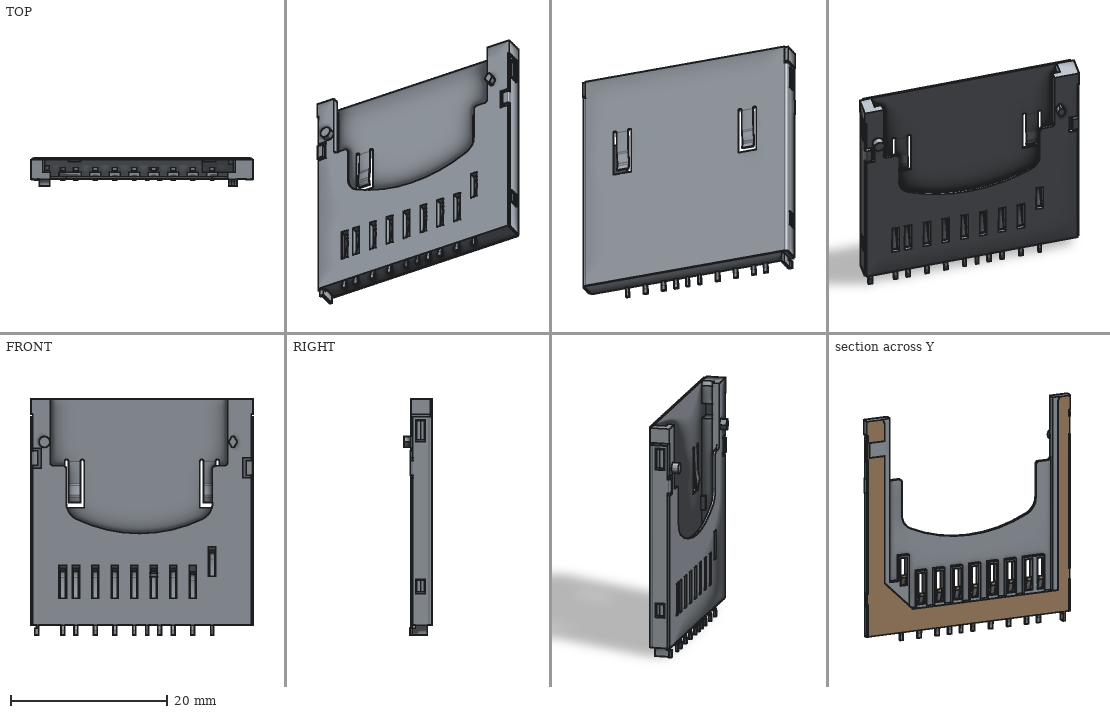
import cadquery as cq
WIDTH = 28.45
DEPTH = 2.72
HEIGHT = 28.98
SHEET = 0.2
SHIELD_WALL_TOP = 26.7
SHIELD_WALL_FRONT = 0.27
BEND_RADIUS = 0.45
SHOULDER_Z = 27.0
INNER_WIDTH = WIDTH - 2 * SHEET
INNER_DEPTH = DEPTH - SHEET

SLOT_X = -0.4
SLOT_WIDTH = 24.15
MOUTH_WIDTH = 24.62
MOUTH_DEPTH = 0.6
RAIL_GAP = 22.7
RAIL_Y = 0.9
FLOOR = 0.33
END_WALL = 3.02
CARD_CHAMFER = 3.93

FINGER_X = -0.33
FINGER_WIDTH = 18.7
FINGER_LOW_Z = 11.75
FINGER_ARC_RADIUS = 18.45
FINGER_CORNER_RADIUS = 2.27
SHELF_Z = 20.42
SHELF_RADIUS = 0.42

LEFT_BUMP_Y = (1.15, 1.72)
LEFT_BUMP_REACH = 0.57
RIGHT_BUMP_Y = (1.9, INNER_DEPTH)
RIGHT_BUMP_REACH = 0.55
BUMP_Z = (12.1, 13.9)
NOTCH_Z = (24.05, 26.0)

FIRST_X = -8.47
ROW_LENGTH = 17.45
PITCH_COUNT = 8
PITCH = ROW_LENGTH / (PITCH_COUNT - 1)
OUTER_X = -10.13
contact_xs = [FIRST_X + PITCH * i for i in range(PITCH_COUNT)]
BAR_X = contact_xs[4]
LOW_X = contact_xs[6]
LAST_X = contact_xs[7]
WINDOW_WIDTH = 0.95
WINDOW_Z = (3.48, 7.65)
LAST_WINDOW_Z = (6.3, 10.0)
RIB_WIDTH = 1.42
RIB_TOP_MARGIN = 0.3
OUTER_RIB_MARGIN = 0.03
CONTACT_WIDTH = 0.67
CONTACT_SHEET = 0.15
CONTACT_ROOT_Y = 0.35
CONTACT_CREST_Y = 1.48
CONTACT_TURN_Y = 1.45
CONTACT_TIP_Y = 1.15
CONTACT_TURN_LENGTH = 0.25
CONTACT_TIP_LENGTH = 0.6
CREST_TO_BEND = 0.5
CREST_SHOULDER_DROP = 0.15
CREST_BELOW_TOP = 1.0
LOW_CREST_BELOW_TOP = 1.4
CONTACT_EMBED = 0.18
BAR_WIDTH = 1.2
BAR_Y = (1.2, CONTACT_CREST_Y)
BAR_HEIGHT = 0.42

TAIL_LENGTH = 1.27
TAIL_WIDTH = 0.5
NARROW_TAIL_WIDTH = 0.4
TAIL_FRONT_Y = -0.12
TAIL_BACK_Y = 0.18
TAIL_EXIT_Y = (0.05, 0.27)
TAIL_BEND = 0.6
wide_tail_xs = [OUTER_X] + contact_xs[:3] + [2.27] + [contact_xs[5], contact_xs[6]]
narrow_tail_xs = [contact_xs[3], 0.67, LAST_X]
SIDE_TAIL_X = (-13.52, -13.22)
SIDE_TAIL_Y = (0.18, 2.12)
SIDE_TAIL_NOTCH = 0.35
SIDE_FOOT_X = -13.75

PEG_RADIUS = 0.7
PEG_LENGTH = 0.88
PEG_Z = 23.47
ROUND_PEG_X = -12.5
DIAMOND_PEG_X = 11.65
DIAMOND_HALF_WIDTH = 0.55
DIAMOND_HALF_HEIGHT = 0.97

LATCH_Y = (0.65, 1.88)
latch_zs = [(4.02, 5.9), (23.5, 26.32)]
LATCH_SIDE_GAP = 0.12
LATCH_BOTTOM_GAP = 0.25
LATCH_RAMP = 0.48
LATCH_RISE = 0.18

tab_places = [(-1, 21.4), (1, 20.15)]
TAB_HEIGHT = 1.85
TAB_REACH = 0.88
TAB_FRONT_Y = -0.1
TAB_BACK_Y = 0.45
TAB_ROUND = 0.25
POCKET_HEIGHT = 2.55
POCKET_REACH = 1.33

SPRING_X = 8.65
SPRING_WIDTH = 1.57
SPRING_SLOT = 0.45
SPRING_ROOT_Z = 20.95
SPRING_SLOT_TOP = 21.2
SPRING_TIP_Z = 15.7
SPRING_CUT_LOW_Z = 15.05
spring_line = [(SPRING_ROOT_Z, 0.0), (18.15, 0.05), (17.95, 0.1), (16.7, 0.3), (16.37, 0.3), (SPRING_TIP_Z, 0.12)]


def box(x, y, z):
    """Box between two X, two Y and two Z values."""
    size = (x[1] - x[0], y[1] - y[0], z[1] - z[0])
    return cq.Workplane("XY").box(*size, centered=False).translate((x[0], y[0], z[0]))


def wide_box(middle, width, y, z):
    """Box centred on a middle X."""
    return box((middle - width / 2, middle + width / 2), y, z)


def side_box(side, reach, y, z):
    """Box that reaches inward from the outer face on one side (-1 or 1)."""
    edges = sorted((side * WIDTH / 2, side * (WIDTH / 2 - reach)))
    return box(edges, y, z)


def strip(middle, width, points):
    """Closed (Y, Z) outline extruded along X about a middle X."""
    outline = cq.Workplane("YZ").polyline(points).close()
    return outline.extrude(width / 2, both=True).translate((middle, 0, 0))


def housing_block():
    lower = wide_box(0, INNER_WIDTH, (0, INNER_DEPTH), (0, HEIGHT))
    lower = lower.edges("|Z and >Y").fillet(BEND_RADIUS - SHEET)
    return lower.union(wide_box(0, WIDTH, (0, INNER_DEPTH), (SHOULDER_Z, HEIGHT)))


def card_slot():
    """Space for the card, with a rail along each side and one corner cut off."""
    slot_right = SLOT_X + SLOT_WIDTH / 2
    space = wide_box(SLOT_X, SLOT_WIDTH, (RAIL_Y, DEPTH), (END_WALL, HEIGHT))
    mouth = (
        cq.Workplane("XZ")
        .moveTo(SLOT_X - SLOT_WIDTH / 2, HEIGHT - MOUTH_DEPTH)
        .lineTo(SLOT_X - MOUTH_WIDTH / 2, HEIGHT)
        .lineTo(SLOT_X + MOUTH_WIDTH / 2, HEIGHT)
        .lineTo(SLOT_X + SLOT_WIDTH / 2, HEIGHT - MOUTH_DEPTH)
        .close()
        .extrude(RAIL_Y - DEPTH)
        .translate((0, RAIL_Y, 0))
    )
    corner = (
        cq.Workplane("XZ")
        .moveTo(slot_right - CARD_CHAMFER, END_WALL)
        .lineTo(slot_right, END_WALL)
        .lineTo(slot_right, END_WALL + CARD_CHAMFER)
        .close()
        .extrude(-DEPTH)
    )
    between_rails = wide_box(SLOT_X, RAIL_GAP, (FLOOR, RAIL_Y), (END_WALL, HEIGHT))
    return space.union(mouth).cut(corner).union(between_rails)


def finger_opening():
    """Opening in the floor: a wide mouth above a tongue that ends in a large arc."""
    arc_z = FINGER_LOW_Z + FINGER_ARC_RADIUS
    tongue = wide_box(FINGER_X, FINGER_WIDTH, (0, RAIL_Y), (0, HEIGHT))
    disc = cq.Workplane("XZ").center(FINGER_X, arc_z).circle(FINGER_ARC_RADIUS).extrude(-RAIL_Y)
    tongue = tongue.intersect(disc)
    corners = cq.selectors.BoxSelector((-WIDTH, -DEPTH, FINGER_LOW_Z), (WIDTH, DEPTH, SHELF_Z))
    tongue = tongue.edges("|Y").edges(corners).fillet(FINGER_CORNER_RADIUS)
    mouth = wide_box(SLOT_X, RAIL_GAP, (0, RAIL_Y), (SHELF_Z, HEIGHT))
    mouth = mouth.edges("|Y and <Z").fillet(SHELF_RADIUS)
    opening = tongue.union(mouth)
    shelf_edges = cq.selectors.BoxSelector(
        (FINGER_X - FINGER_WIDTH / 2 - SHELF_RADIUS / 2, -DEPTH, SHELF_Z - SHELF_RADIUS / 2),
        (FINGER_X + FINGER_WIDTH / 2 + SHELF_RADIUS / 2, DEPTH, SHELF_Z + SHELF_RADIUS / 2),
    )
    return opening.edges("|Y").edges(shelf_edges).fillet(SHELF_RADIUS)


def window_z(x):
    return LAST_WINDOW_Z if x == LAST_X else WINDOW_Z


def contact_rib(x):
    low, high = END_WALL, window_z(x)[1] + RIB_TOP_MARGIN
    if x == OUTER_X:
        return box((x - WINDOW_WIDTH / 2 - OUTER_RIB_MARGIN, FIRST_X), (0, RAIL_Y), (low, high))
    return wide_box(x, RIB_WIDTH, (0, RAIL_Y), (low, high))


def corner_rib():
    """Raised floor between the last contact and the rail, under the cut-off corner."""
    rail_x = SLOT_X + RAIL_GAP / 2
    return box((LAST_X, rail_x), (0, RAIL_Y), (END_WALL, END_WALL + CARD_CHAMFER))


def contact(x):
    """Spring arm that rises from the lower end of its window and turns down past its crest."""
    low, high = window_z(x)
    crest_z = high - (LOW_CREST_BELOW_TOP if x == LOW_X else CREST_BELOW_TOP)
    bend_z = crest_z - CREST_TO_BEND
    turn_z = crest_z + CONTACT_TURN_LENGTH
    tip_z = crest_z + CONTACT_TIP_LENGTH
    shoulder_y = CONTACT_CREST_Y - CREST_SHOULDER_DROP
    outline = (
        cq.Workplane("YZ")
        .moveTo(CONTACT_ROOT_Y, low - CONTACT_EMBED)
        .lineTo(shoulder_y - CONTACT_SHEET, bend_z)
        .threePointArc((CONTACT_CREST_Y - CONTACT_SHEET, crest_z), (CONTACT_TURN_Y - CONTACT_SHEET, turn_z))
        .lineTo(CONTACT_TIP_Y - CONTACT_SHEET, tip_z)
        .lineTo(CONTACT_TIP_Y, tip_z)
        .lineTo(CONTACT_TURN_Y, turn_z)
        .threePointArc((CONTACT_CREST_Y, crest_z), (shoulder_y, bend_z))
        .lineTo(CONTACT_ROOT_Y + CONTACT_SHEET, low - CONTACT_EMBED)
        .close()
    )
    arm = outline.extrude(CONTACT_WIDTH / 2, both=True).translate((x, 0, 0))
    if x == BAR_X:
        arm = arm.union(wide_box(x, BAR_WIDTH, BAR_Y, (crest_z - BAR_HEIGHT, crest_z)))
    return arm


def tail(x, width):
    """Solder tail that bends toward the mounting plane."""
    front, back = TAIL_EXIT_Y
    points = [
        (front, 0),
        (back, 0),
        (TAIL_BACK_Y, -TAIL_BEND),
        (TAIL_BACK_Y, -TAIL_LENGTH),
        (TAIL_FRONT_Y, -TAIL_LENGTH),
        (TAIL_FRONT_Y, -TAIL_BEND),
    ]
    return strip(x, width, points)


def side_tail():
    """Upright plate at the -X end with a foot at the mounting plane."""
    plate = box(SIDE_TAIL_X, SIDE_TAIL_Y, (-TAIL_LENGTH, 0))
    notch = box(SIDE_TAIL_X, (SIDE_TAIL_Y[0], SIDE_TAIL_Y[0] + SIDE_TAIL_NOTCH), (-SIDE_TAIL_NOTCH, 0))
    foot = box((SIDE_FOOT_X, SIDE_TAIL_X[1]), (TAIL_FRONT_Y, TAIL_BACK_Y), (-TAIL_LENGTH, -SIDE_TAIL_NOTCH))
    return plate.cut(notch).union(foot)


def round_peg(x):
    return cq.Workplane("XZ").center(x, PEG_Z).circle(PEG_RADIUS).extrude(PEG_LENGTH)


def diamond_peg(x):
    half = [(DIAMOND_HALF_WIDTH, 0), (0, DIAMOND_HALF_HEIGHT)]
    points = half + [(-across, -up) for across, up in half]
    diamond = cq.Workplane("XZ").center(x, PEG_Z).polyline(points).close().extrude(PEG_LENGTH)
    return diamond.intersect(round_peg(x))


def latch(side, z):
    """Ramp on the side of the housing that stands in a window of the shield."""
    face = INNER_WIDTH / 2
    front, back = LATCH_Y[0] + LATCH_SIDE_GAP, LATCH_Y[1] - LATCH_SIDE_GAP
    low, high = z[0] + LATCH_BOTTOM_GAP, z[1] - LATCH_SIDE_GAP
    points = [
        (side * (face - SHEET), front),
        (side * (face + LATCH_RISE), front),
        (side * (face + LATCH_RISE), back - LATCH_RAMP),
        (side * face, back),
        (side * (face - SHEET), back),
    ]
    return cq.Workplane("XY").workplane(offset=low).polyline(points).close().extrude(high - low)


def slot_bumps():
    left, right = SLOT_X - SLOT_WIDTH / 2, SLOT_X + SLOT_WIDTH / 2
    left_bump = box((left, left + LEFT_BUMP_REACH), LEFT_BUMP_Y, BUMP_Z)
    return left_bump.union(box((right - RIGHT_BUMP_REACH, right), RIGHT_BUMP_Y, BUMP_Z))


def make_housing():
    body = housing_block().cut(card_slot()).cut(finger_opening())
    slot_right = SLOT_X + SLOT_WIDTH / 2
    body = body.cut(box((slot_right, INNER_WIDTH / 2 - SHEET), (RAIL_Y, DEPTH), NOTCH_Z))
    body = body.union(slot_bumps())
    all_xs = [OUTER_X] + contact_xs
    for x in all_xs:
        body = body.union(contact_rib(x))
    body = body.union(corner_rib())
    for x in all_xs:
        body = body.cut(wide_box(x, WINDOW_WIDTH, (0, RAIL_Y), window_z(x)))
    for x in all_xs:
        body = body.union(contact(x))
    for x in wide_tail_xs:
        body = body.union(tail(x, TAIL_WIDTH))
    for x in narrow_tail_xs:
        body = body.union(tail(x, NARROW_TAIL_WIDTH))
    body = body.union(side_tail())
    for side, z in tab_places:
        half = POCKET_HEIGHT / 2
        body = body.cut(side_box(side, POCKET_REACH, (0, TAB_BACK_Y), (z - half, z + half)))
    for side in (-1, 1):
        for z in latch_zs:
            body = body.union(latch(side, z))
    return body.union(round_peg(ROUND_PEG_X)).union(diamond_peg(DIAMOND_PEG_X))


def shield_shell():
    """Back plate with two side walls; the plate alone runs on to the open end."""
    outer = wide_box(0, WIDTH, (SHIELD_WALL_FRONT, DEPTH), (0, SHIELD_WALL_TOP))
    outer = outer.edges("|Z and >Y").fillet(BEND_RADIUS)
    inner = wide_box(0, INNER_WIDTH, (0, INNER_DEPTH), (0, SHIELD_WALL_TOP))
    inner = inner.edges("|Z and >Y").fillet(BEND_RADIUS - SHEET)
    plate_width = WIDTH - 2 * BEND_RADIUS
    plate = wide_box(0, plate_width, (INNER_DEPTH, DEPTH), (SHOULDER_Z - BEND_RADIUS, HEIGHT))
    return outer.cut(inner).union(plate)


def spring_cut(x):
    """Opening around a spring; a round-ended slot runs up each side of it."""
    width = SPRING_WIDTH + 2 * SPRING_SLOT
    plate = (INNER_DEPTH, DEPTH)
    cut = wide_box(x, width, plate, (SPRING_CUT_LOW_Z, SPRING_ROOT_Z))
    for side in (-1, 1):
        slot_x = x + side * (SPRING_WIDTH + SPRING_SLOT) / 2
        end_z = SPRING_SLOT_TOP - SPRING_SLOT / 2
        end = cq.Workplane("XZ").center(slot_x, end_z).circle(SPRING_SLOT / 2).extrude(-DEPTH)
        cut = cut.union(end)
    return cut


def spring(x):
    inner = [(INNER_DEPTH - dip, z) for z, dip in spring_line]
    outer = [(y + SHEET, z) for y, z in reversed(inner)]
    return strip(x, SPRING_WIDTH, inner + outer)


def tab(side, z):
    """Piece of the side wall folded over the mounting face."""
    heights = (z - TAB_HEIGHT / 2, z + TAB_HEIGHT / 2)
    lug = side_box(side, TAB_REACH, (TAB_FRONT_Y, TAB_BACK_Y), heights)
    outer_edge = "|Z and <Y and >X" if side > 0 else "|Z and <Y and <X"
    return lug.edges(outer_edge).fillet(TAB_ROUND)


def make_shield():
    body = shield_shell()
    for x in (-SPRING_X, SPRING_X):
        body = body.cut(spring_cut(x)).union(spring(x))
    for side in (-1, 1):
        for z in latch_zs:
            body = body.cut(side_box(side, SHEET, LATCH_Y, z))
    for side, z in tab_places:
        body = body.union(tab(side, z))
    return body


housing = make_housing()
shield = make_shield()
result = cq.Compound.makeCompound([housing.solids().val(), shield.solids().val()])